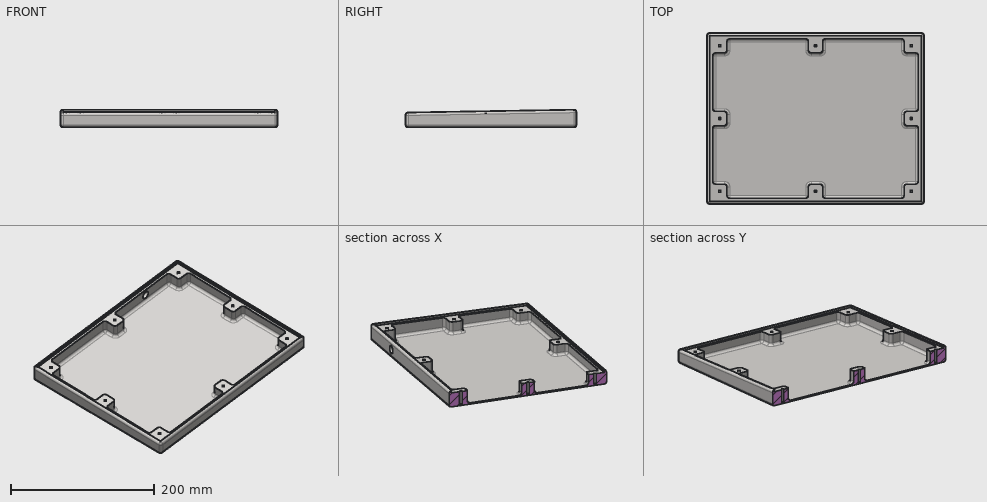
import cadquery as cq

length = 302.7
width = 238.5
height = 24.8
front_height = 21.0

wall = 8.2
floor = 2.7
edge_radius = 4.0

recess_depth = 3.0

screw_inset = 18.0
post_half_width = 10.0
screw_diameter = 3.3

cable_diameter = 11.2
cable_x = length / 4
cable_z = 12.5

screw_x = length / 2 - screw_inset
screw_y = width / 2 - screw_inset
screw_points = [
    (x, y)
    for x in (-screw_x, 0, screw_x)
    for y in (-screw_y, 0, screw_y)
    if (x, y) != (0, 0)
]


slope = (height - front_height) / (width - edge_radius)


def top_height(y):
    """Height of the sloping top plane at a given y."""
    return front_height + slope * (y + width / 2)


def make_body():
    """Rounded block whose top slopes down toward the front."""
    profile = [
        (-width / 2, 0),
        (width / 2, 0),
        (width / 2, top_height(width / 2)),
        (-width / 2, front_height),
    ]
    block = cq.Workplane("YZ").polyline(profile).close().extrude(length / 2, both=True)
    return block.edges().fillet(edge_radius)


def make_lid_recess():
    """Shallow sharp-cornered recess with its floor parallel to the top."""
    half_x = length / 2 - edge_radius
    half_y = width / 2 - edge_radius
    profile = [
        (-half_y, top_height(-half_y) - recess_depth),
        (half_y, top_height(half_y) - recess_depth),
        (half_y, 2 * height),
        (-half_y, 2 * height),
    ]
    return cq.Workplane("YZ").polyline(profile).close().extrude(half_x, both=True)


def make_post(x, y):
    """Post reaching from a screw position outward past the nearby cavity walls."""
    reach = screw_inset - wall
    left = post_half_width + (reach if x < 0 else 0)
    right = post_half_width + (reach if x > 0 else 0)
    near = post_half_width + (reach if y < 0 else 0)
    far = post_half_width + (reach if y > 0 else 0)
    return (
        cq.Workplane("XY", origin=(x - left, y - near, floor))
        .rect(left + right, near + far, centered=False)
        .extrude(height)
    )


def make_cavity():
    """Pocket between the posts, with rounded corners and a rounded floor edge."""
    cavity = (
        cq.Workplane("XY", origin=(0, 0, floor))
        .rect(length - 2 * wall, width - 2 * wall)
        .extrude(height)
    )
    for x, y in screw_points:
        cavity = cavity.cut(make_post(x, y))
    return cavity.edges("|Z").fillet(edge_radius).faces("<Z").edges().fillet(edge_radius)


def make_screw_holes():
    """Blind holes from the post tops down to the cavity floor."""
    return (
        cq.Workplane("XY", origin=(0, 0, floor))
        .pushPoints(screw_points)
        .circle(screw_diameter / 2)
        .extrude(height)
    )


def make_cable_hole():
    """Round hole from the cavity out through the back wall."""
    return (
        cq.Workplane("XZ", origin=(cable_x, width / 2, cable_z))
        .circle(cable_diameter / 2)
        .extrude(2 * wall)
    )


result = (
    make_body()
    .cut(make_lid_recess())
    .cut(make_cavity())
    .cut(make_screw_holes())
    .cut(make_cable_hole())
)